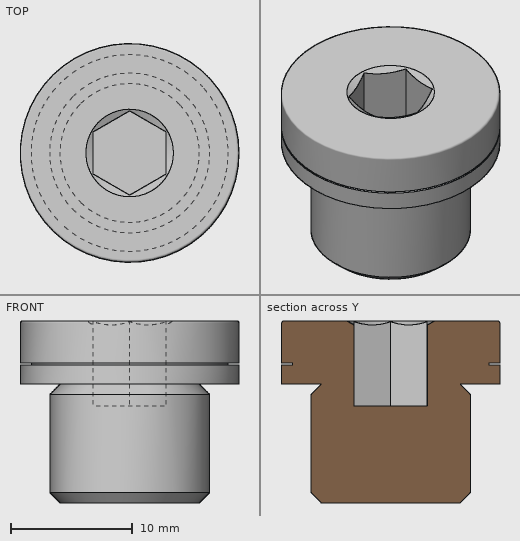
import cadquery as cq
import math

total_length = 15.0

head_diameter = 18.0
head_height = 5.2
head_edge_radius = 0.2
groove_diameter = 16.2
groove_depth_from_top = 3.48
groove_width = 0.14

shank_diameter = 13.16
shank_chamfer = 0.86

socket_sides = 6
socket_turn = 90.0
socket_across_flats = 6.0
socket_depth = 7.0
lead_in_diameter = 7.2
lead_in_cone_angle = 120.0

head_top = total_length
head_bottom = head_top - head_height
groove_top = head_top - groove_depth_from_top


def make_head():
    """Disc with a rounded top edge."""
    disc = (
        cq.Workplane("XY", origin=(0, 0, head_bottom))
        .circle(head_diameter / 2)
        .extrude(head_height)
    )
    return disc.faces(">Z").edges().fillet(head_edge_radius)


def make_groove():
    """Ring that parts the rim of the head into two discs."""
    return (
        cq.Workplane("XY", origin=(0, 0, groove_top - groove_width))
        .circle(head_diameter / 2)
        .circle(groove_diameter / 2)
        .extrude(groove_width)
    )


def make_shank():
    """Plain cylinder with a chamfer at the head and at the free end."""
    cylinder = cq.Workplane("XY").circle(shank_diameter / 2).extrude(head_bottom)
    return cylinder.faces("<Z or >Z").edges().chamfer(shank_chamfer)


def make_socket():
    """Blind hexagon with two corners on the Y axis."""
    across_corners = socket_across_flats / math.cos(math.pi / socket_sides)
    return (
        cq.Workplane("XY", origin=(0, 0, head_top - socket_depth))
        .transformed(rotate=(0, 0, socket_turn))
        .polygon(socket_sides, across_corners)
        .extrude(socket_depth)
    )


def make_lead_in():
    """Full cone, widest at the top of the head, that bevels the socket mouth."""
    radius = lead_in_diameter / 2
    cone_height = radius / math.tan(math.radians(lead_in_cone_angle / 2))
    return cq.Workplane("XY").add(
        cq.Solid.makeCone(0, radius, cone_height, pnt=cq.Vector(0, 0, head_top - cone_height))
    )


result = (
    make_head()
    .union(make_shank())
    .cut(make_groove())
    .cut(make_socket())
    .cut(make_lead_in())
)